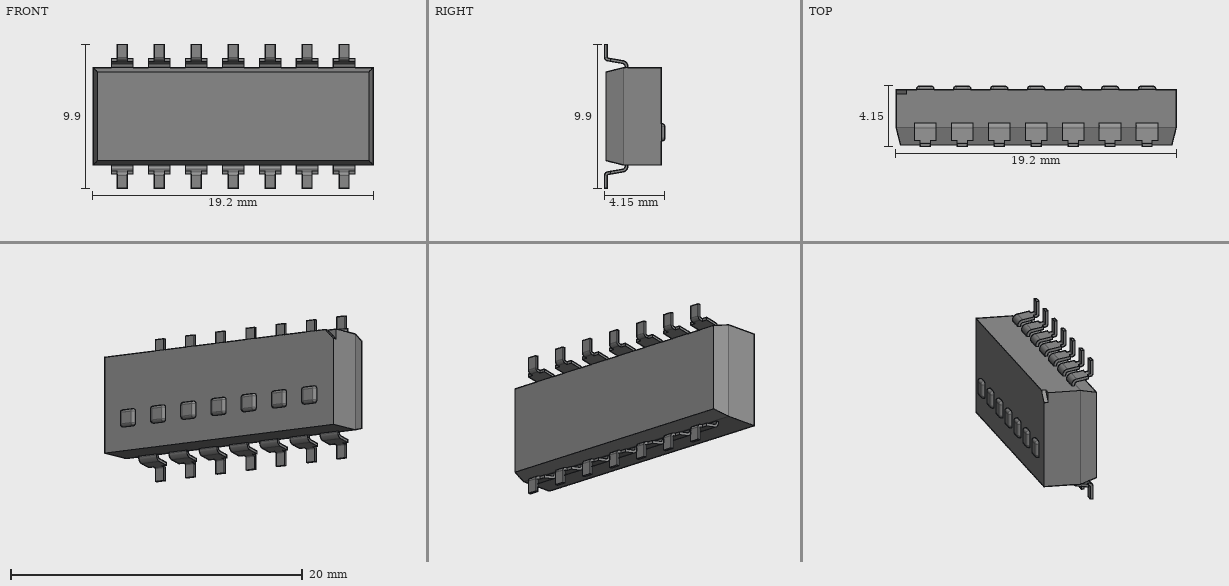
import math

import cadquery as cq

BODY_LENGTH = 19.25
BODY_HEIGHT = 6.7
BODY_DEPTH = 3.8
TAPER_DEPTH = 1.2
TAPER_INSET = 0.3
FRONT_Y = -BODY_DEPTH / 2
BACK_Y = BODY_DEPTH / 2
TAPER_START_Y = FRONT_Y + TAPER_DEPTH

MARK_LEG = 0.7
MARK_DEPTH = 0.3

POSITION_COUNT = 7
PITCH = 2.54

ACTUATOR_SIZE = 1.2
ACTUATOR_HEIGHT = 0.25
ACTUATOR_Z = -1.1
ACTUATOR_RADIUS = 0.2

LEAD_SPAN = 9.9
LEAD_THICKNESS = 0.2
LEAD_WIDE = 1.5
LEAD_NARROW = 0.7
STANDOFF = 0.1
ROOT_OFFSET = 2.29
ROOT_EMBED = 0.2
SHOULDER_OFFSET = 3.48
SHANK_ANGLE = 10.0
FOOT_CORNER_Z = 3.93
ROOT_INNER_RADIUS = 0.2
FOOT_INNER_RADIUS = 0.05

POSITIONS = [(index - (POSITION_COUNT - 1) / 2) * PITCH for index in range(POSITION_COUNT)]


def make_body():
    """Box at the back, tapered on all four sides toward the mounting face."""
    straight_depth = BODY_DEPTH - TAPER_DEPTH
    taper_angle = math.degrees(math.atan2(TAPER_INSET, TAPER_DEPTH))
    start = cq.Workplane("XZ", origin=(0, TAPER_START_Y, 0))
    straight = start.rect(BODY_LENGTH, BODY_HEIGHT).extrude(-straight_depth)
    tapered = start.rect(BODY_LENGTH, BODY_HEIGHT).extrude(TAPER_DEPTH, taper=taper_angle)
    return straight.union(tapered)


def make_corner_mark():
    """Triangular prism that bevels one corner of the back face."""
    left = -BODY_LENGTH / 2
    top = BODY_HEIGHT / 2
    triangle = [(left, top), (left + MARK_LEG, top), (left, top - MARK_LEG)]
    return cq.Workplane("XZ", origin=(0, BACK_Y, 0)).polyline(triangle).close().extrude(MARK_DEPTH)


def make_actuator(x):
    """Square pad with rounded corners and rounded top edges."""
    pad = (
        cq.Workplane("XZ", origin=(x, BACK_Y, ACTUATOR_Z))
        .rect(ACTUATOR_SIZE, ACTUATOR_SIZE)
        .extrude(-ACTUATOR_HEIGHT)
    )
    return pad.edges("|Y").fillet(ACTUATOR_RADIUS).faces(">Y").edges().fillet(ACTUATOR_RADIUS)


def make_lead_strip(width):
    """Upper strip at x = 0: root out of the housing, sloping shank, upright foot."""
    half = LEAD_THICKNESS / 2
    tilt = math.radians(SHANK_ANGLE)
    root_y = BACK_Y - ROOT_OFFSET - half
    foot_y = FRONT_Y - STANDOFF + half
    root_z = BODY_HEIGHT / 2 - ROOT_EMBED
    foot_z = LEAD_SPAN / 2
    root_corner_z = FOOT_CORNER_Z - (root_y - foot_y) * math.tan(tilt)
    miter = half * math.tan((math.pi / 2 - tilt) / 2)

    root_outer = (root_y + half, root_corner_z + miter)
    root_inner = (root_y - half, root_corner_z - miter)
    foot_inner = (foot_y + half, FOOT_CORNER_Z + miter)
    foot_outer = (foot_y - half, FOOT_CORNER_Z - miter)
    strip = (
        cq.Workplane("YZ", origin=(-width / 2, 0, 0))
        .moveTo(root_y + half, root_z)
        .lineTo(*root_outer)
        .lineTo(*foot_inner)
        .lineTo(foot_y + half, foot_z)
        .lineTo(foot_y - half, foot_z)
        .lineTo(*foot_outer)
        .lineTo(*root_inner)
        .lineTo(root_y - half, root_z)
        .close()
        .extrude(width)
    )
    bends = [
        (root_inner, ROOT_INNER_RADIUS),
        (root_outer, ROOT_INNER_RADIUS + LEAD_THICKNESS),
        (foot_inner, FOOT_INNER_RADIUS),
        (foot_outer, FOOT_INNER_RADIUS + LEAD_THICKNESS),
    ]
    for (y, z), radius in bends:
        strip = strip.edges(cq.selectors.NearestToPointSelector((0, y, z))).fillet(radius)
    return strip


def make_lead():
    """Narrow strip over the full length, widened from the root to the shoulder."""
    wide_end_y = BACK_Y - SHOULDER_OFFSET
    shoulder_zone = cq.Workplane("XY").box(
        LEAD_WIDE, SHOULDER_OFFSET, LEAD_SPAN, centered=(True, False, True)
    )
    wide_part = make_lead_strip(LEAD_WIDE).intersect(shoulder_zone.translate((0, wide_end_y, 0)))
    return make_lead_strip(LEAD_NARROW).union(wide_part)


result = make_body().cut(make_corner_mark())
upper_lead = make_lead()
lower_lead = upper_lead.mirror("XY")
for position in POSITIONS:
    result = result.union(make_actuator(position))
    result = result.union(upper_lead.translate((position, 0, 0)))
    result = result.union(lower_lead.translate((position, 0, 0)))